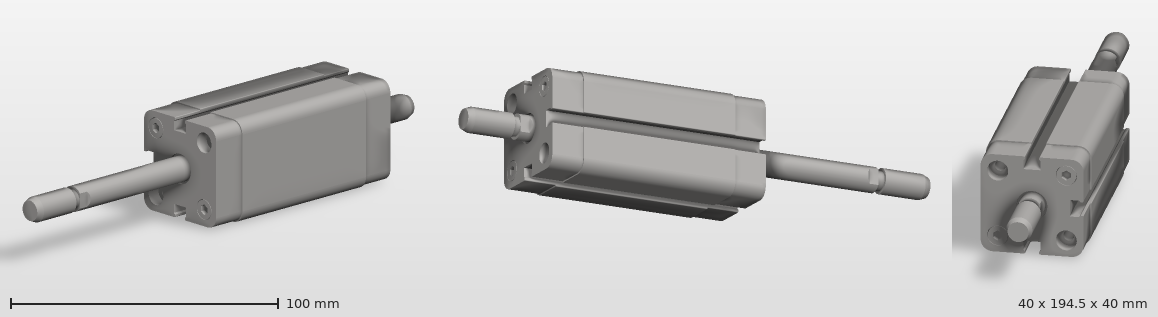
import cadquery as cq

TOTAL_LENGTH = 194.5
BODY_LENGTH = 89.9
REAR_ROD_LENGTH = 27.2
CAP_LENGTH = 13.0
FRONT_END_Y = -TOTAL_LENGTH / 2
REAR_END_Y = TOTAL_LENGTH / 2
BODY_REAR_Y = REAR_END_Y - REAR_ROD_LENGTH
BODY_FRONT_Y = BODY_REAR_Y - BODY_LENGTH

BARREL_WIDTH = 40.0
CAP_STEP = 0.5
CAP_WIDTH = BARREL_WIDTH - 2 * CAP_STEP
BARREL_CORNER_RADIUS = 5.0
CAP_CORNER_RADIUS = BARREL_CORNER_RADIUS - CAP_STEP

SLOT_MOUTH_WIDTH = 5.5
SLOT_CHANNEL_WIDTH = 6.6
SLOT_DEPTH = 5.6
SLOT_LIP_DEPTH = 2.1
SLOT_MOUTH_RADIUS = 0.3
SLOT_ANGLES = (0, 90, 180)

HOLE_OFFSET = 13.0
COUNTERBORE_DIAMETER = 8.0
COUNTERBORE_DEPTH = 2.6
THROUGH_DIAMETER = 4.0
SCREW_HEAD_DIAMETER = 7.5
SOCKET_WIDTH = 3.5
SOCKET_DEPTH = 1.0

ROD_DIAMETER = 10.0
ROD_BORE_DIAMETER = 11.7
ROD_BORE_DEPTH = 0.5
TIP_DIAMETER = 8.0
TIP_LENGTH = 2.5
GROOVE_DIAMETER = 7.5
GROOVE_START = 19.3
GROOVE_END = 22.0
FLAT_SPACING = 8.0
FLAT_END = 25.7


def bar(width, corner_radius, rear_y, length):
    """Square bar with rounded long edges, running from rear_y toward -Y."""
    return (
        cq.Workplane("XZ", origin=(0, rear_y, 0))
        .rect(width, width)
        .extrude(length)
        .edges("|Y")
        .fillet(corner_radius)
    )


def cylinder(diameter, rear_y, length, points=((0, 0),)):
    """Cylinders running from rear_y toward -Y at the given (x, z) points."""
    return (
        cq.Workplane("XZ", origin=(0, rear_y, 0))
        .pushPoints(points)
        .circle(diameter / 2)
        .extrude(length)
    )


def slot_cutter(angle, surface_offset, rear_y, length):
    """Slot with rounded mouth edges over a wider channel, turned about Y to the wanted side.

    surface_offset is the distance from the rod axis to the face holding the slot.
    """
    half_mouth = SLOT_MOUTH_WIDTH / 2
    half_channel = SLOT_CHANNEL_WIDTH / 2
    floor_z = BARREL_WIDTH / 2 - SLOT_DEPTH
    lip_z = BARREL_WIDTH / 2 - SLOT_LIP_DEPTH
    profile = (
        cq.Workplane("XZ", origin=(0, rear_y, 0))
        .moveTo(0, floor_z)
        .lineTo(half_channel, floor_z)
        .lineTo(half_channel, lip_z)
        .lineTo(half_mouth, lip_z + half_channel - half_mouth)
        .lineTo(half_mouth, surface_offset - SLOT_MOUTH_RADIUS)
        .radiusArc((half_mouth + SLOT_MOUTH_RADIUS, surface_offset), SLOT_MOUTH_RADIUS)
        .lineTo(0, surface_offset)
        .mirrorY()
    )
    return profile.extrude(length).rotate((0, 0, 0), (0, 1, 0), -angle)


def slotted_bar(width, corner_radius, rear_y, length):
    """One length of the body with its sensor slots."""
    solid = bar(width, corner_radius, rear_y, length)
    for angle in SLOT_ANGLES:
        solid = solid.cut(slot_cutter(angle, width / 2, rear_y, length))
    return solid


def body():
    """Barrel between two identical end caps, slotted along the full length."""
    barrel_rear_y = BODY_REAR_Y - CAP_LENGTH
    barrel_front_y = BODY_FRONT_Y + CAP_LENGTH
    barrel_length = barrel_rear_y - barrel_front_y
    solid = slotted_bar(BARREL_WIDTH, BARREL_CORNER_RADIUS, barrel_rear_y, barrel_length)
    for cap_rear_y in (BODY_REAR_Y, barrel_front_y):
        solid = solid.union(slotted_bar(CAP_WIDTH, CAP_CORNER_RADIUS, cap_rear_y, CAP_LENGTH))
    return solid


def cut_end_holes(solid):
    """Open mounting holes on one diagonal and socket screws on the other, at both ends."""
    open_points = ((HOLE_OFFSET, HOLE_OFFSET), (-HOLE_OFFSET, -HOLE_OFFSET))
    screw_points = ((-HOLE_OFFSET, HOLE_OFFSET), (HOLE_OFFSET, -HOLE_OFFSET))
    solid = solid.cut(cylinder(THROUGH_DIAMETER, BODY_REAR_Y, BODY_LENGTH, open_points))
    for face_y, inward in ((BODY_FRONT_Y, 2), (BODY_REAR_Y, -2)):
        face = cq.Workplane("XZ", origin=(0, face_y, 0))
        counterbores = (
            face.pushPoints(open_points)
            .circle(COUNTERBORE_DIAMETER / 2)
            .extrude(-inward * COUNTERBORE_DEPTH)
        )
        head_gaps = (
            face.pushPoints(screw_points)
            .circle(COUNTERBORE_DIAMETER / 2)
            .circle(SCREW_HEAD_DIAMETER / 2)
            .extrude(-inward * COUNTERBORE_DEPTH)
        )
        sockets = (
            face.pushPoints(screw_points)
            .polygon(6, SOCKET_WIDTH, circumscribed=True)
            .extrude(-inward * SOCKET_DEPTH)
        )
        rod_bore = face.circle(ROD_BORE_DIAMETER / 2).extrude(-inward * ROD_BORE_DEPTH)
        solid = solid.cut(counterbores).cut(head_gaps).cut(sockets).cut(rod_bore)
    return solid


def rod_end_cutter():
    """Material removed from the rod at its front end: tip chamfer, groove and wrench flats."""
    rod_radius = ROD_DIAMETER / 2
    tip_radius = TIP_DIAMETER / 2
    groove_radius = GROOVE_DIAMETER / 2
    flat_offset = FLAT_SPACING / 2
    flat_depth = rod_radius - flat_offset
    tip = (
        cq.Workplane("XY", origin=(0, FRONT_END_Y, 0))
        .moveTo(tip_radius, 0)
        .lineTo(rod_radius, 0)
        .lineTo(rod_radius, TIP_LENGTH)
        .close()
        .revolve(360, (0, 0, 0), (0, 1, 0))
    )
    groove = (
        cq.Workplane("XY", origin=(0, FRONT_END_Y, 0))
        .moveTo(groove_radius, GROOVE_START)
        .lineTo(rod_radius, GROOVE_START)
        .lineTo(rod_radius, GROOVE_END)
        .lineTo(groove_radius, GROOVE_END)
        .close()
        .revolve(360, (0, 0, 0), (0, 1, 0))
    )
    flat = (
        cq.Workplane("XY", origin=(0, FRONT_END_Y, 0))
        .moveTo(flat_offset, GROOVE_END)
        .lineTo(rod_radius, GROOVE_END)
        .lineTo(rod_radius, FLAT_END + flat_depth)
        .lineTo(flat_offset, FLAT_END)
        .close()
        .extrude(rod_radius, both=True)
    )
    return tip.union(groove).union(flat).union(flat.mirror("YZ"))


def rod():
    """Through rod with identical ends."""
    end_cutter = rod_end_cutter()
    return (
        cylinder(ROD_DIAMETER, REAR_END_Y, TOTAL_LENGTH)
        .cut(end_cutter)
        .cut(end_cutter.mirror("XZ"))
    )


result = cut_end_holes(body()).union(rod())